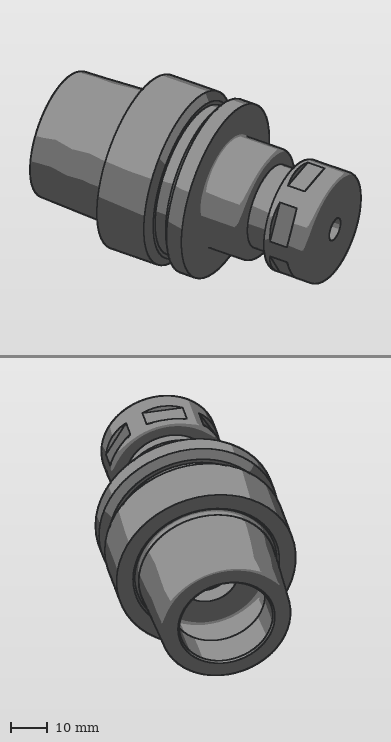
import cadquery as cq

total_length = 85.0

shank_front_radius = 18.1
shank_back_radius = 19.1
shank_nose_round = 1.0
shank_taper_end_x = 22.9
shank_end_x = 23.7

neck_radius = 19.0
undercut_start_x = 24.65
undercut_radius = 0.8
undercut_mouth_radius = 20.4

flange_start_x = 24.9
flange_end_x = 51.1
flange_radius = 25.0
groove_rim_start_x = 39.4
groove_start_x = 41.05
groove_end_x = 44.9
groove_rim_end_x = 46.5
groove_wall_radius = 22.6
groove_floor_radius = 21.5

body_radius = 16.0
body_end_x = 64.4
body_root_fillet = 1.0
body_end_round = 1.8
collar_radius = 12.0

nut_radius = 16.0
nut_start_x = 71.1
nut_round = 1.5
flat_count = 6
flat_apothem = 15.0
flat_start_x = 73.5
flat_end_x = 78.7
flat_wall_flare = 0.5

bore_radius = 13.0
bore_mouth_chamfer = 0.5
bore_land_end_x = 9.95
chamber_radius = 16.0
chamber_end_x = 21.2
chamber_floor_round = 1.5
pilot_radius = 8.0
pilot_depth = 5.1
through_radius = 3.2


def revolved(profile):
    """Turn a half outline, drawn above the X axis, into a solid."""
    return profile.close().revolve(360, (0, 0, 0), (1, 0, 0))


def outer_solid():
    shank_step = shank_back_radius - neck_radius
    undercut_floor_x = undercut_start_x + undercut_radius
    profile = (
        cq.Workplane("XY")
        .lineTo(0, shank_front_radius - shank_nose_round)
        .radiusArc((shank_nose_round, shank_front_radius), shank_nose_round)
        .lineTo(shank_taper_end_x, shank_back_radius)
        .lineTo(shank_end_x, shank_back_radius)
        .lineTo(shank_end_x + shank_step, neck_radius)
        .lineTo(undercut_start_x, neck_radius)
        .radiusArc((undercut_floor_x, neck_radius + undercut_radius), -undercut_radius)
        .lineTo(flange_start_x, undercut_mouth_radius)
        .lineTo(flange_start_x, flange_radius)
        .lineTo(groove_rim_start_x, flange_radius)
        .lineTo(groove_start_x, groove_wall_radius)
        .lineTo(groove_start_x, groove_floor_radius)
        .lineTo(groove_end_x, groove_floor_radius)
        .lineTo(groove_end_x, groove_wall_radius)
        .lineTo(groove_rim_end_x, flange_radius)
        .lineTo(flange_end_x, flange_radius)
        .lineTo(flange_end_x, body_radius + body_root_fillet)
        .radiusArc((flange_end_x + body_root_fillet, body_radius), -body_root_fillet)
        .lineTo(body_end_x - body_end_round, body_radius)
        .radiusArc((body_end_x, body_radius - body_end_round), body_end_round)
        .lineTo(body_end_x, collar_radius)
        .lineTo(nut_start_x, collar_radius)
        .lineTo(nut_start_x, nut_radius - nut_round)
        .radiusArc((nut_start_x + nut_round, nut_radius), nut_round)
        .lineTo(total_length - nut_round, nut_radius)
        .radiusArc((total_length, nut_radius - nut_round), nut_round)
        .lineTo(total_length, 0)
    )
    return revolved(profile)


def bore():
    pilot_end_x = chamber_end_x + pilot_depth
    profile = (
        cq.Workplane("XY")
        .lineTo(0, bore_radius + bore_mouth_chamfer)
        .lineTo(bore_mouth_chamfer, bore_radius)
        .lineTo(bore_land_end_x, bore_radius)
        .lineTo(bore_land_end_x, chamber_radius)
        .lineTo(chamber_end_x - chamber_floor_round, chamber_radius)
        .radiusArc((chamber_end_x, chamber_radius - chamber_floor_round), chamber_floor_round)
        .lineTo(chamber_end_x, pilot_radius)
        .lineTo(pilot_end_x, pilot_radius)
        .lineTo(pilot_end_x, through_radius)
        .lineTo(total_length, through_radius)
        .lineTo(total_length, 0)
    )
    return revolved(profile)


def flat_cutter():
    """A pocket on the +Z side whose end walls lean outwards."""
    outline = cq.Workplane("XZ").polyline([
        (flat_start_x, flat_apothem),
        (flat_start_x - flat_wall_flare, nut_radius),
        (flat_end_x + flat_wall_flare, nut_radius),
        (flat_end_x, flat_apothem),
    ])
    return outline.close().extrude(nut_radius / 2, both=True)


result = outer_solid().cut(bore())
for index in range(flat_count):
    turn = index * 360 / flat_count
    result = result.cut(flat_cutter().rotate((0, 0, 0), (1, 0, 0), turn))